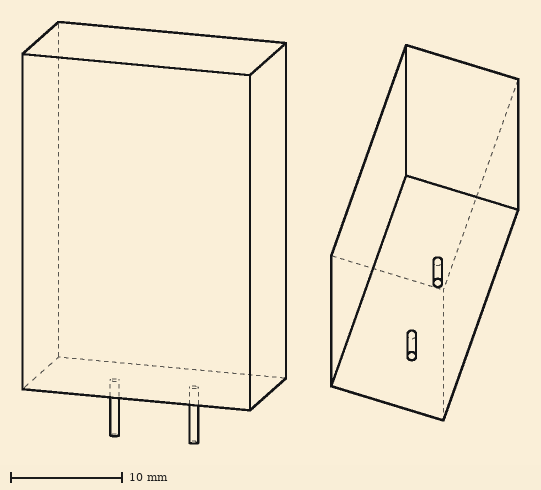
import cadquery as cq

total_height = 36.6
body_width = 21.5
body_depth = 10.6

lead_length = 5.15
lead_diameter = 0.8
lead_pitch = 7.45

body_height = total_height - lead_length


def make_body():
    """Plain rectangular case with its underside at Z = 0."""
    return cq.Workplane("XY").box(body_width, body_depth, body_height, centered=(True, True, False))


def make_lead(x):
    """One straight lead that hangs from the underside of the body."""
    return cq.Workplane("XY").center(x, 0).circle(lead_diameter / 2).extrude(-lead_length)


body = make_body()

leads = []
for side in (-1, 1):
    leads.append(make_lead(side * lead_pitch / 2))

result = cq.Compound.makeCompound([body.val(), *[lead.val() for lead in leads]])